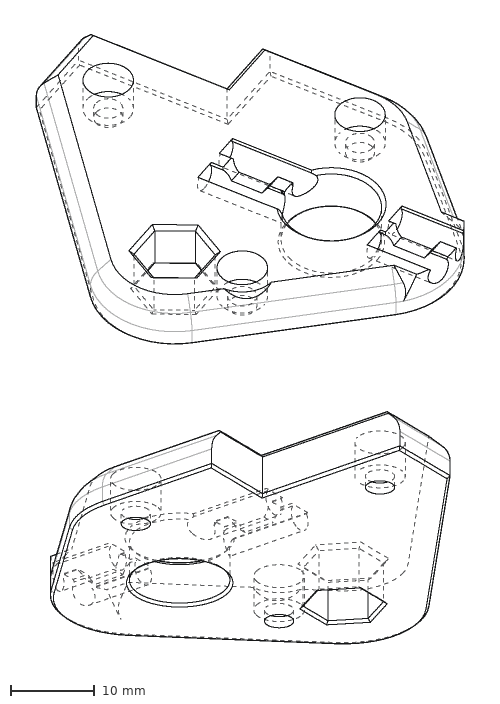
import cadquery as cq
import math

thickness = 6.0

corner_radius = 10.2
nose_center = (6.55, 0)
back_center = (-5.25, 11.8)
hex_center = (-11.75, -16.75)
left_x = -42.3
left_corner = (left_x, 2.2)
back_y = back_center[1] + corner_radius
notch_corner = (-21.7, 12.05)

rim_chamfer = 2.5
rim_blend_radius = 3.0
base_chamfer = 0.35
notch_chamfer = 0.75

bore_diameter = 12.0
hex_flats = 8.4
opening_chamfer = 0.55
front_screw_center = (-3.3, -15.2)
screw_centers = [(-5.25, 15.5), (-34.2, 5.4), front_screw_center]
screw_diameter = 3.5
head_diameter = 6.0
screw_seat_z = 1.5

fill_base_z = 1.8
nose_fill_width = 11.05
nose_fill_draft = 20
boss_radius = 4.3

channel_starts = [-16.1, 7.4]
channel_ends = [-2.95, 17.7]
groove_offset = 2.5
groove_diameter = 3.3
groove_axis_depth = 1.25
groove_lip = 0.25
rib_width = 1.9
dip_starts = [-14.45, 8.1]
dip_length = 6.5
dip_run = 1.1
dip_depth = 1.7


def on_arc(center, angle):
    """Point of a corner arc at the given angle from +X."""
    return (
        center[0] + corner_radius * math.cos(angle),
        center[1] + corner_radius * math.sin(angle),
    )


def slab(base_z, height):
    """Prism of the plate outline, without the notch."""
    diagonal = math.radians(45)
    toward_hex = math.atan2(hex_center[1] - nose_center[1], hex_center[0] - nose_center[0])
    front = toward_hex + math.pi / 2
    dx = left_corner[0] - hex_center[0]
    dy = left_corner[1] - hex_center[1]
    left = math.atan2(dy, dx) + math.acos(corner_radius / math.hypot(dx, dy))
    return (
        cq.Workplane("XY", origin=(0, 0, base_z))
        .moveTo(left_x, back_y)
        .lineTo(back_center[0], back_y)
        .threePointArc(on_arc(back_center, (math.pi / 2 + diagonal) / 2), on_arc(back_center, diagonal))
        .lineTo(*on_arc(nose_center, diagonal))
        .threePointArc(on_arc(nose_center, 0), on_arc(nose_center, front))
        .lineTo(*on_arc(hex_center, front))
        .threePointArc(on_arc(hex_center, -math.pi / 2), on_arc(hex_center, left))
        .lineTo(*left_corner)
        .close()
        .extrude(height)
    )


def rounded_plate():
    """Plate with a 45 degree rim that blends into the upright sides."""
    plate = slab(0, thickness).faces(">Z").edges().chamfer(rim_chamfer)
    rim_z = thickness - rim_chamfer
    reach = 2 * abs(left_x)
    tolerance = 0.05
    rim_edges = cq.selectors.BoxSelector(
        (-reach, -reach, rim_z - tolerance),
        (reach, reach, rim_z + tolerance),
    )
    return plate.edges(rim_edges).fillet(rim_blend_radius)


def full_height_fill():
    """Upright nose between the rim chamfers and the boss beside the front screw."""
    height = thickness - fill_base_z
    top_half = nose_fill_width / 2
    base_half = top_half + height * math.tan(math.radians(nose_fill_draft))
    nose = (
        cq.Workplane("YZ", origin=(nose_center[0], 0, 0))
        .moveTo(-top_half, thickness)
        .lineTo(top_half, thickness)
        .lineTo(base_half, fill_base_z)
        .lineTo(-base_half, fill_base_z)
        .close()
        .extrude(2 * corner_radius)
    )
    boss = cq.Workplane("XY", origin=(*front_screw_center, fill_base_z)).circle(boss_radius).extrude(height)
    return nose.union(boss).intersect(slab(fill_base_z, height))


def notch():
    """Square step in the back left corner, flared at the top to chamfer its edges."""
    length = notch_corner[0] - left_x
    depth = back_y - notch_corner[1]
    quarter = cq.Workplane("XY").center(left_x, back_y)
    step = quarter.rect(2 * length, 2 * depth).extrude(thickness)
    flare = (
        quarter.workplane(offset=thickness - notch_chamfer)
        .rect(2 * length, 2 * depth)
        .workplane(offset=notch_chamfer)
        .rect(2 * (length + notch_chamfer), 2 * (depth + notch_chamfer))
        .loft(ruled=True)
    )
    return step.union(flare)


def screw_hole(center):
    """Through hole with a deep seat for the screw head."""
    hole = cq.Workplane("XY").center(*center).circle(screw_diameter / 2).extrude(thickness)
    seat = cq.Workplane("XY", origin=(*center, screw_seat_z)).circle(head_diameter / 2).extrude(thickness)
    return hole.union(seat)


def bore():
    """Bearing bore, chamfered at the top except where the channel rib meets it."""
    radius = bore_diameter / 2
    cone = (
        cq.Workplane("XY", origin=(0, 0, thickness - opening_chamfer))
        .circle(radius)
        .workplane(offset=opening_chamfer)
        .circle(radius + opening_chamfer)
        .loft()
    )
    rib = cq.Workplane("XY").rect(4 * radius, rib_width).extrude(thickness)
    rib = rib.translate((-2 * radius, 0, 0))
    return cq.Workplane("XY").circle(radius).extrude(thickness).union(cone.cut(rib))


def hex_opening():
    """Hexagonal opening with a corner toward the front, chamfered at the top."""
    hex_sides = 6
    half_side_angle = 180 / hex_sides
    flats_ratio = math.cos(math.radians(half_side_angle))
    across_corners = hex_flats / flats_ratio
    wide_corners = (hex_flats + 2 * opening_chamfer) / flats_ratio
    prism = cq.Workplane("XY").polygon(hex_sides, across_corners).extrude(thickness)
    flare = (
        cq.Workplane("XY", origin=(0, 0, thickness - opening_chamfer))
        .polygon(hex_sides, across_corners)
        .workplane(offset=opening_chamfer)
        .polygon(hex_sides, wide_corners)
        .loft(ruled=True)
    )
    return prism.union(flare).rotate((0, 0, 0), (0, 0, 1), half_side_angle).translate((*hex_center, 0))


def groove(start, length, center_y):
    """Undercut groove along X: a round channel whose narrower mouth flares at the top."""
    radius = groove_diameter / 2
    throat = math.sqrt(radius**2 - (groove_axis_depth - groove_lip) ** 2)
    section = cq.Workplane("YZ", origin=(start, center_y, thickness))
    channel = section.center(0, -groove_axis_depth).circle(radius).extrude(length)
    mouth = (
        section.moveTo(-throat - groove_lip, 0)
        .lineTo(throat + groove_lip, 0)
        .lineTo(throat, -groove_lip)
        .lineTo(throat, -groove_axis_depth)
        .lineTo(-throat, -groove_axis_depth)
        .lineTo(-throat, -groove_lip)
        .close()
        .extrude(length)
    )
    return channel.union(mouth)


def strap_channel(start, end, dip_start):
    """Two grooves along X with a dip in the rib between them."""
    length = end - start
    grooves = groove(start, length, -groove_offset).union(groove(start, length, groove_offset))
    dip = (
        cq.Workplane("XZ")
        .moveTo(dip_start, thickness)
        .lineTo(dip_start + dip_run, thickness - dip_depth)
        .lineTo(dip_start + dip_length - dip_run, thickness - dip_depth)
        .lineTo(dip_start + dip_length, thickness)
        .close()
        .extrude(groove_offset, both=True)
    )
    return grooves.union(dip)


plate = rounded_plate().union(full_height_fill()).cut(notch())
plate = plate.cut(bore()).cut(hex_opening())
plate = plate.faces("<Z").edges().chamfer(base_chamfer)
for screw_center in screw_centers:
    plate = plate.cut(screw_hole(screw_center))
for start, end, dip_start in zip(channel_starts, channel_ends, dip_starts):
    plate = plate.cut(strap_channel(start, end, dip_start))
result = plate